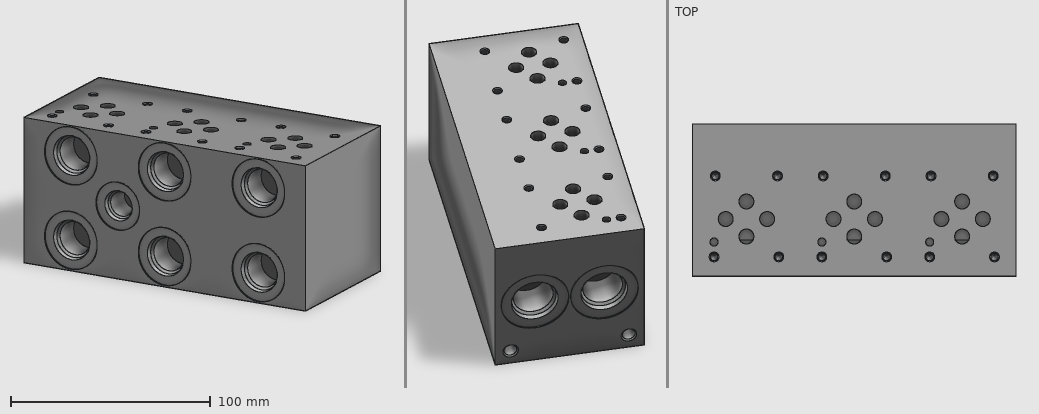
import cadquery as cq
import math

LENGTH = 162.0
WIDTH = 76.3
HEIGHT = 76.3

STATION_COUNT = 3
STATION_PITCH = 54.0
STATION_XS = [LENGTH / 2 + (i - (STATION_COUNT - 1) / 2) * STATION_PITCH for i in range(STATION_COUNT)]

SPOTFACE_DEPTH = 0.8
SEAT_LENGTH = 2.5
SEAT_HALF_ANGLE = 12.0
WORK_PORT = {"spotface": 30.3, "mouth": 20.7, "bore": 17.3, "depth": 18.1}
GAUGE_PORT = {"spotface": 25.1, "mouth": 15.7, "bore": 12.8, "depth": 18.1}
MAIN_PORT = {"spotface": 34.5, "mouth": 23.8, "bore": 20.2, "depth": 21.0}
WORK_PORT_OFFSET_Z = 22.2
GAUGE_PORT_X = (STATION_XS[0] + STATION_XS[1]) / 2
MAIN_PORT_YS = (20.4, 55.9)

MOUNT_INSET = 8.0
MOUNT_DIAMETER = 6.5
MOUNT_MOUTH = 8.0
MOUNT_DEPTH = 13.0

VALVE_AXIS_Y = 28.7
VALVE_PASSAGE_DIAMETER = 7.5
VALVE_PASSAGE_DEPTH = 8.0
VALVE_PASSAGE_OFFSET_X = 10.4
VALVE_PASSAGE_OFFSET_Y = 8.7
VALVE_BOLT_DIAMETER = 3.7
VALVE_BOLT_MOUTH = 4.9
VALVE_BOLT_DEPTH = 13.0
FRONT_BOLT_Y = 9.7
REAR_BOLT_Y = 50.2
FRONT_BOLT_OFFSET_X = 16.2
REAR_BOLT_OFFSET_X = 15.5
PIN_DIAMETER = 4.0
PIN_DEPTH = 4.0
PIN_Y = 17.2

DRILL_POINT_HALF_ANGLE = 59.0


def revolved_cutter(profile, origin, direction):
    """Revolve (radius, depth) points about the drilling axis that starts at origin."""
    points = [(0, 0)] + profile
    local = cq.Workplane("XZ").polyline(points).close().revolve(360, (0, 0), (0, 1))
    plane = cq.Plane(origin=origin, normal=direction)
    return local.val().located(cq.Location(plane))


def port_cutter(port, origin, direction):
    mouth_radius = port["mouth"] / 2
    bore_radius = port["bore"] / 2
    spotface_radius = port["spotface"] / 2
    seat_end = SPOTFACE_DEPTH + SEAT_LENGTH
    throat_radius = mouth_radius - SEAT_LENGTH * math.tan(math.radians(SEAT_HALF_ANGLE))
    cone_end = seat_end + throat_radius - bore_radius
    profile = [
        (spotface_radius, 0),
        (spotface_radius, SPOTFACE_DEPTH),
        (mouth_radius, SPOTFACE_DEPTH),
        (throat_radius, seat_end),
        (bore_radius, cone_end),
        (bore_radius, port["depth"]),
        (0, port["depth"]),
    ]
    return revolved_cutter(profile, origin, direction)


def tapped_hole_cutter(diameter, mouth, depth, origin, direction):
    """Drilled hole with a 45 degree mouth chamfer and a conical drill point."""
    radius = diameter / 2
    tip_depth = depth + radius / math.tan(math.radians(DRILL_POINT_HALF_ANGLE))
    profile = [
        (mouth / 2, 0),
        (radius, (mouth - diameter) / 2),
        (radius, depth),
        (0, tip_depth),
    ]
    return revolved_cutter(profile, origin, direction)


def plain_hole_cutter(diameter, depth, origin, direction):
    radius = diameter / 2
    return revolved_cutter([(radius, 0), (radius, depth), (0, depth)], origin, direction)


def front_face_cutters():
    inward = (0, 1, 0)
    cutters = [port_cutter(GAUGE_PORT, (GAUGE_PORT_X, 0, HEIGHT / 2), inward)]
    for x in STATION_XS:
        for side in (-1, 1):
            z = HEIGHT / 2 + side * WORK_PORT_OFFSET_Z
            cutters.append(port_cutter(WORK_PORT, (x, 0, z), inward))
    return cutters


def end_face_cutters():
    inward = (1, 0, 0)
    cutters = [port_cutter(MAIN_PORT, (0, y, HEIGHT / 2), inward) for y in MAIN_PORT_YS]
    for y in (MOUNT_INSET, WIDTH - MOUNT_INSET):
        origin = (0, y, MOUNT_INSET)
        cutters.append(tapped_hole_cutter(MOUNT_DIAMETER, MOUNT_MOUTH, MOUNT_DEPTH, origin, inward))
    return cutters


def valve_station_cutters(x):
    inward = (0, 0, -1)
    passages = [
        (x - VALVE_PASSAGE_OFFSET_X, VALVE_AXIS_Y),
        (x + VALVE_PASSAGE_OFFSET_X, VALVE_AXIS_Y),
        (x, VALVE_AXIS_Y - VALVE_PASSAGE_OFFSET_Y),
        (x, VALVE_AXIS_Y + VALVE_PASSAGE_OFFSET_Y),
    ]
    bolts = [
        (x - FRONT_BOLT_OFFSET_X, FRONT_BOLT_Y),
        (x + FRONT_BOLT_OFFSET_X, FRONT_BOLT_Y),
        (x - REAR_BOLT_OFFSET_X, REAR_BOLT_Y),
        (x + REAR_BOLT_OFFSET_X, REAR_BOLT_Y),
    ]
    pin_origin = (x - FRONT_BOLT_OFFSET_X, PIN_Y, HEIGHT)
    cutters = [plain_hole_cutter(PIN_DIAMETER, PIN_DEPTH, pin_origin, inward)]
    for px, py in passages:
        origin = (px, py, HEIGHT)
        cutters.append(plain_hole_cutter(VALVE_PASSAGE_DIAMETER, VALVE_PASSAGE_DEPTH, origin, inward))
    for bx, by in bolts:
        origin = (bx, by, HEIGHT)
        cutters.append(
            tapped_hole_cutter(VALVE_BOLT_DIAMETER, VALVE_BOLT_MOUTH, VALVE_BOLT_DEPTH, origin, inward)
        )
    return cutters


result = cq.Workplane("XY").box(LENGTH, WIDTH, HEIGHT, centered=False)
station_cutters = [cutter for x in STATION_XS for cutter in valve_station_cutters(x)]
for cutter in front_face_cutters() + end_face_cutters() + station_cutters:
    result = result.cut(cq.Workplane(cutter))